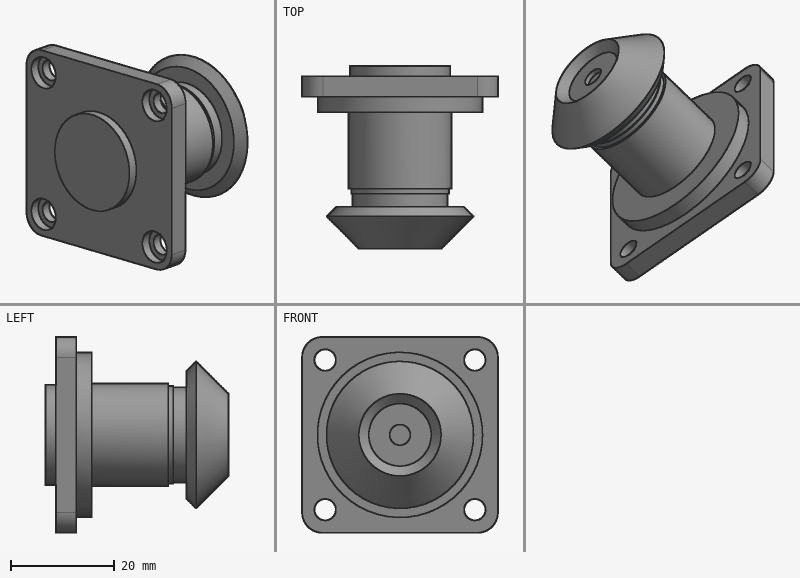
import cadquery as cq


plate_side = 38.0
plate_thickness = 4.0
plate_corner_radius = 4.0
mounting_hole_diameter = 4.1
mounting_hole_spacing = 29.0
counterbore_diameter = 6.35
counterbore_depth = 2.0

spigot_diameter = 19.5
spigot_projection = 2.0
flange_diameter = 32.0
flange_thickness = 3.0
tube_diameter = 20.0
tube_length = 14.8

collar_diameter = 19.0
collar_thickness = 1.0
neck_diameter = 18.5
neck_length = 2.5

head_rim_diameter = 28.5
head_front_diameter = 15.93
overall_length = 35.48
recess_floor_diameter = 12.1
recess_depth = 1.7
center_hole_diameter = 4.0
center_hole_depth = 1.0

plate_front_y = -plate_thickness
flange_front_y = plate_front_y - flange_thickness
tube_front_y = flange_front_y - tube_length
collar_front_y = tube_front_y - collar_thickness
neck_front_y = collar_front_y - neck_length
head_front_y = spigot_projection - overall_length
head_rim_y = head_front_y + (head_rim_diameter - head_front_diameter) / 2
head_back_diameter = head_rim_diameter - 2 * (neck_front_y - head_rim_y)
recess_floor_y = head_front_y + recess_depth
center_hole_floor_y = recess_floor_y + center_hole_depth


def plane_at(y):
    """XZ work plane at station y on the axis, with extrusions going toward -Y."""
    return cq.Workplane("XZ", origin=(0, y, 0))


def disc(diameter, back_y, front_y):
    """Cylinder on the Y axis between two stations."""
    return plane_at(back_y).circle(diameter / 2).extrude(back_y - front_y)


def corner_cylinders(diameter, depth):
    """Four cylinders on the mounting pattern, reaching forward from the plate's rear face."""
    pattern = plane_at(0).rect(mounting_hole_spacing, mounting_hole_spacing, forConstruction=True)
    return pattern.vertices().circle(diameter / 2).extrude(depth)


def make_plate():
    """Square plate with rounded corners, four holes counterbored from the rear, and the spigot hole."""
    plate = plane_at(0).rect(plate_side, plate_side).extrude(plate_thickness)
    plate = plate.edges("|Y").fillet(plate_corner_radius)
    holes = corner_cylinders(mounting_hole_diameter, plate_thickness)
    counterbores = corner_cylinders(counterbore_diameter, counterbore_depth)
    spigot_hole = disc(spigot_diameter, 0, plate_front_y)
    return plate.cut(holes).cut(counterbores).cut(spigot_hole)


def make_sleeve():
    """Spigot, flange and tube turned as one piece."""
    spigot = disc(spigot_diameter, spigot_projection, plate_front_y)
    flange = disc(flange_diameter, plate_front_y, flange_front_y)
    tube = disc(tube_diameter, flange_front_y, tube_front_y)
    return spigot.union(flange).union(tube)


def make_head():
    """Double cone with a dished front face and a blind hole in the dish floor."""
    profile = [
        (0, neck_front_y),
        (head_back_diameter / 2, neck_front_y),
        (head_rim_diameter / 2, head_rim_y),
        (head_front_diameter / 2, head_front_y),
        (recess_floor_diameter / 2, recess_floor_y),
        (center_hole_diameter / 2, recess_floor_y),
        (center_hole_diameter / 2, center_hole_floor_y),
        (0, center_hole_floor_y),
    ]
    return cq.Workplane("XY").polyline(profile).close().revolve(360, (0, 0, 0), (0, 1, 0))


plate = make_plate()
sleeve = make_sleeve()
collar = disc(collar_diameter, tube_front_y, collar_front_y)
neck = disc(neck_diameter, collar_front_y, neck_front_y)
head = make_head()

result = cq.Compound.makeCompound(
    [plate.val(), sleeve.val(), collar.val(), neck.val(), head.val()]
)